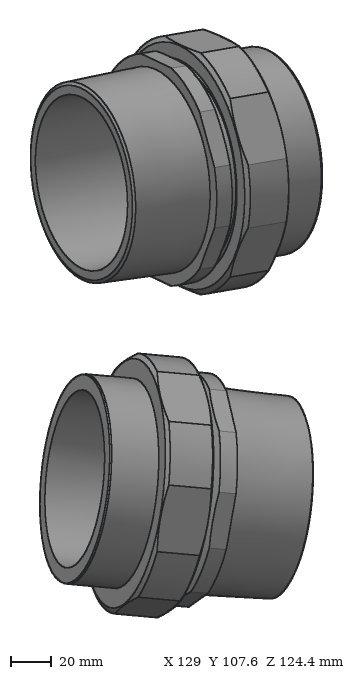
import cadquery as cq
import math

TOTAL_LENGTH = 107.6
BORE_DIAMETER = 88.1

TAPER_RATIO = 1 / 16
TAPER_FRONT_DIAMETER = 100.7
FRONT_CHAMFER_LENGTH = 0.9
FRONT_FACE_DIAMETER = 97.3
NECK_DIAMETER = 101.0
THREAD_DIAMETER = 108.7
THREAD_START_Y = 58.5
THREAD_LEAD_LENGTH = 2.2
FLANGE_FRONT_Y = 43.0
FLANGE_CHAMFER_Y = 51.9
FLANGE_BACK_Y = 54.6
FLANGE_DIAMETER = 115.9
FLANGE_ACROSS_FLATS = 112.3

NUT_FRONT_Y = 56.8
NUT_LENGTH = 25.3
NUT_DIAMETER = 129.0
NUT_ACROSS_FLATS = 124.4
NUT_FACE_DIAMETER = 123.6
NUT_CHAMFER_LENGTH = 1.5
NUT_BACK_Y = NUT_FRONT_Y + NUT_LENGTH
JOINT_Y = NUT_FRONT_Y + NUT_LENGTH / 2

TAIL_DIAMETER = 104.2
TAIL_CHAMFER_LENGTH = 0.9
TAIL_CHAMFER_RADIAL = 0.4


def turned(profile):
    """Revolve a closed (radius, y) profile about the Y axis."""
    return cq.Workplane("XY").polyline(profile).close().revolve(360, (0, 0, 0), (0, 1, 0))


def cylinder(diameter, y_start, y_end):
    """Solid cylinder on the Y axis."""
    radius = diameter / 2
    return turned([(0, y_start), (radius, y_start), (radius, y_end), (0, y_end)])


def hexagon_bar(across_flats, y_start, y_end):
    """Hexagonal bar on the Y axis, with flats facing +Z and -Z."""
    across_corners = across_flats / math.cos(math.pi / 6)
    return (
        cq.Workplane("XZ", origin=(0, y_start, 0))
        .polygon(6, across_corners)
        .extrude(y_start - y_end)
    )


def make_spigot():
    """Tapered spigot with its wrench flange, neck and thread."""
    taper_length = FLANGE_FRONT_Y - FRONT_CHAMFER_LENGTH
    taper_back_diameter = TAPER_FRONT_DIAMETER + TAPER_RATIO * taper_length
    taper = turned([
        (0, 0),
        (FRONT_FACE_DIAMETER / 2, 0),
        (TAPER_FRONT_DIAMETER / 2, FRONT_CHAMFER_LENGTH),
        (taper_back_diameter / 2, FLANGE_FRONT_Y),
        (0, FLANGE_FRONT_Y),
    ])
    flange = turned([
        (0, FLANGE_FRONT_Y),
        (FLANGE_DIAMETER / 2, FLANGE_FRONT_Y),
        (FLANGE_DIAMETER / 2, FLANGE_CHAMFER_Y),
        (NECK_DIAMETER / 2, FLANGE_BACK_Y),
        (0, FLANGE_BACK_Y),
    ]).intersect(hexagon_bar(FLANGE_ACROSS_FLATS, FLANGE_FRONT_Y, FLANGE_BACK_Y))
    neck_and_thread = turned([
        (0, FLANGE_BACK_Y),
        (NECK_DIAMETER / 2, FLANGE_BACK_Y),
        (NECK_DIAMETER / 2, THREAD_START_Y),
        (THREAD_DIAMETER / 2, THREAD_START_Y + THREAD_LEAD_LENGTH),
        (THREAD_DIAMETER / 2, JOINT_Y),
        (0, JOINT_Y),
    ])
    bore = cylinder(BORE_DIAMETER, 0, JOINT_Y)
    return taper.union(flange).union(neck_and_thread).cut(bore)


def make_nut():
    """Hexagonal nut with corners turned round and both ends chamfered."""
    blank = turned([
        (0, NUT_FRONT_Y),
        (NUT_FACE_DIAMETER / 2, NUT_FRONT_Y),
        (NUT_DIAMETER / 2, NUT_FRONT_Y + NUT_CHAMFER_LENGTH),
        (NUT_DIAMETER / 2, NUT_BACK_Y - NUT_CHAMFER_LENGTH),
        (NUT_FACE_DIAMETER / 2, NUT_BACK_Y),
        (0, NUT_BACK_Y),
    ])
    nut = blank.intersect(hexagon_bar(NUT_ACROSS_FLATS, NUT_FRONT_Y, NUT_BACK_Y))
    thread_hole = cylinder(THREAD_DIAMETER, NUT_FRONT_Y, JOINT_Y)
    tail_hole = cylinder(TAIL_DIAMETER, JOINT_Y, NUT_BACK_Y)
    return nut.cut(thread_hole).cut(tail_hole)


def make_tail():
    """Plain tube with a small chamfer round its back end."""
    tail_radius = TAIL_DIAMETER / 2
    bore_radius = BORE_DIAMETER / 2
    return turned([
        (bore_radius, JOINT_Y),
        (tail_radius, JOINT_Y),
        (tail_radius, TOTAL_LENGTH - TAIL_CHAMFER_LENGTH),
        (tail_radius - TAIL_CHAMFER_RADIAL, TOTAL_LENGTH),
        (bore_radius, TOTAL_LENGTH),
    ])


spigot = make_spigot()
nut = make_nut()
tail = make_tail()

result = cq.Compound.makeCompound([spigot.solids().val(), nut.solids().val(), tail.val()])